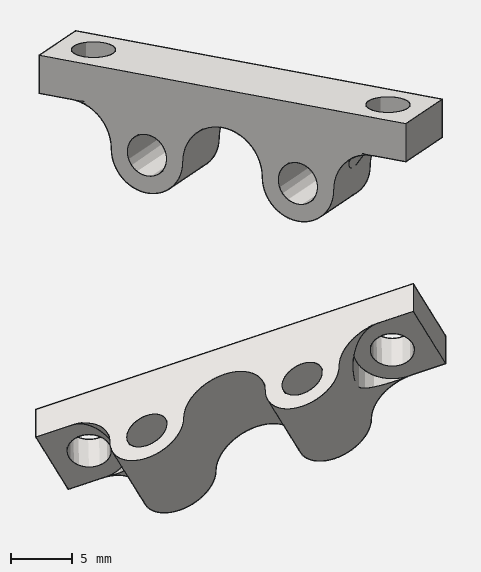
import math

import cadquery as cq

length = 33.53
width = 6.35
plate_thickness = 3.302

lug_pitch = 13.8
lug_radius = 3.27
lug_hole_diameter = 3.57
total_height = 10.18

mount_pitch = 26.92
mount_hole_diameter = 3.57
clearance_diameter = width

lug_center_z = lug_radius
underside_z = total_height - plate_thickness
fillet_height = underside_z - lug_center_z
arch_half_span = lug_pitch / 2 - lug_radius
lug_outer_x = lug_pitch / 2 + lug_radius
fillet_end_x = lug_outer_x + fillet_height


def make_body():
    """Plate, two round lugs and the concave arcs beside them, extruded across the width."""
    fillet_mid_x = fillet_end_x - fillet_height * math.sin(math.pi / 4)
    fillet_mid_z = lug_center_z + fillet_height * math.cos(math.pi / 4)
    return (
        cq.Workplane("XZ")
        .moveTo(-length / 2, total_height)
        .lineTo(-length / 2, underside_z)
        .lineTo(-fillet_end_x, underside_z)
        .threePointArc((-fillet_mid_x, fillet_mid_z), (-lug_outer_x, lug_center_z))
        .threePointArc((-lug_pitch / 2, 0), (-arch_half_span, lug_center_z))
        .threePointArc((0, underside_z), (arch_half_span, lug_center_z))
        .threePointArc((lug_pitch / 2, 0), (lug_outer_x, lug_center_z))
        .threePointArc((fillet_mid_x, fillet_mid_z), (fillet_end_x, underside_z))
        .lineTo(length / 2, underside_z)
        .lineTo(length / 2, total_height)
        .close()
        .extrude(width / 2, both=True)
    )


def make_lug_holes():
    """Horizontal pin holes through both lugs."""
    return (
        cq.Workplane("XZ")
        .pushPoints([(-lug_pitch / 2, lug_center_z), (lug_pitch / 2, lug_center_z)])
        .circle(lug_hole_diameter / 2)
        .extrude(width / 2, both=True)
    )


def make_mount_cylinders(diameter, height):
    """Vertical cylinders on the mounting hole axes, rising from Z = 0."""
    return (
        cq.Workplane("XY")
        .pushPoints([(-mount_pitch / 2, 0), (mount_pitch / 2, 0)])
        .circle(diameter / 2)
        .extrude(height)
    )


result = (
    make_body()
    .cut(make_lug_holes())
    .cut(make_mount_cylinders(mount_hole_diameter, total_height))
    .cut(make_mount_cylinders(clearance_diameter, underside_z))
)